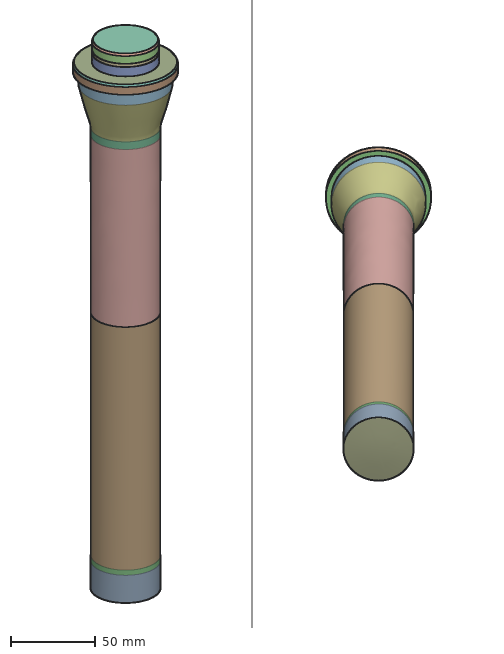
import cadquery as cq
import math

total_length = 364.0

knob_diameter = 40.0
knob_groove_diameter = 39.5
flange_diameter = 62.5
collar_diameter = 56.0
grip_diameter = 42.0
tube_diameter = 41.5

seam_height = 183.8
grip_taper_top = 301.5
flare_bottom = 306.5
collar_bottom = 334.0
flange_bottom = 342.5
flange_top = 349.0
knob_groove_bottom = 355.2
knob_groove_top = 357.5

end_cap_top = 20.0
end_taper_top = 23.3
dome_height = 1.5

bevel_height = 1.5
bevel_width = 0.7

flare_waist_radius = 21.5
flare_waist_height = 310.0
flare_end_direction = (0.15, 1)

knob_radius = knob_diameter / 2
knob_groove_radius = knob_groove_diameter / 2
flange_radius = flange_diameter / 2
collar_radius = collar_diameter / 2
grip_radius = grip_diameter / 2
tube_radius = tube_diameter / 2


def revolve_profile(profile):
    """Turn a half outline in the XZ plane fully around the Z axis."""
    return profile.close().revolve(360, (0, 0, 0), (0, 1, 0))


def make_head():
    """Solid upper body: tapered grip, flared collar, flange and grooved knob."""
    profile = (
        cq.Workplane("XZ")
        .moveTo(0, seam_height)
        .lineTo(tube_radius, seam_height)
        .lineTo(grip_radius, grip_taper_top)
        .lineTo(grip_radius, flare_bottom)
        .spline(
            [(flare_waist_radius, flare_waist_height), (collar_radius, collar_bottom)],
            tangents=[(0, 1), flare_end_direction],
            includeCurrent=True,
        )
        .lineTo(collar_radius, flange_bottom)
        .lineTo(flange_radius, flange_bottom)
        .lineTo(flange_radius, flange_top - bevel_height)
        .lineTo(flange_radius - bevel_width, flange_top)
        .lineTo(knob_radius, flange_top)
        .lineTo(knob_radius, knob_groove_bottom)
        .lineTo(knob_groove_radius, knob_groove_bottom)
        .lineTo(knob_groove_radius, knob_groove_top)
        .lineTo(knob_radius, knob_groove_top)
        .lineTo(knob_radius, total_length - bevel_height)
        .lineTo(knob_radius - bevel_width, total_length)
        .lineTo(0, total_length)
    )
    return revolve_profile(profile)


def make_tube():
    """Solid lower body: straight tube that widens into a domed end cap."""
    dome_sphere_radius = (grip_radius**2 + dome_height**2) / (2 * dome_height)
    dome_middle_radius = grip_radius / 2
    dome_middle_height = dome_sphere_radius - math.sqrt(dome_sphere_radius**2 - dome_middle_radius**2)
    profile = (
        cq.Workplane("XZ")
        .moveTo(0, 0)
        .threePointArc((dome_middle_radius, dome_middle_height), (grip_radius, dome_height))
        .lineTo(grip_radius, end_cap_top)
        .lineTo(tube_radius, end_taper_top)
        .lineTo(tube_radius, seam_height)
        .lineTo(0, seam_height)
    )
    return revolve_profile(profile)


head = make_head()
tube = make_tube()

result = cq.Compound.makeCompound([head.val(), tube.val()])